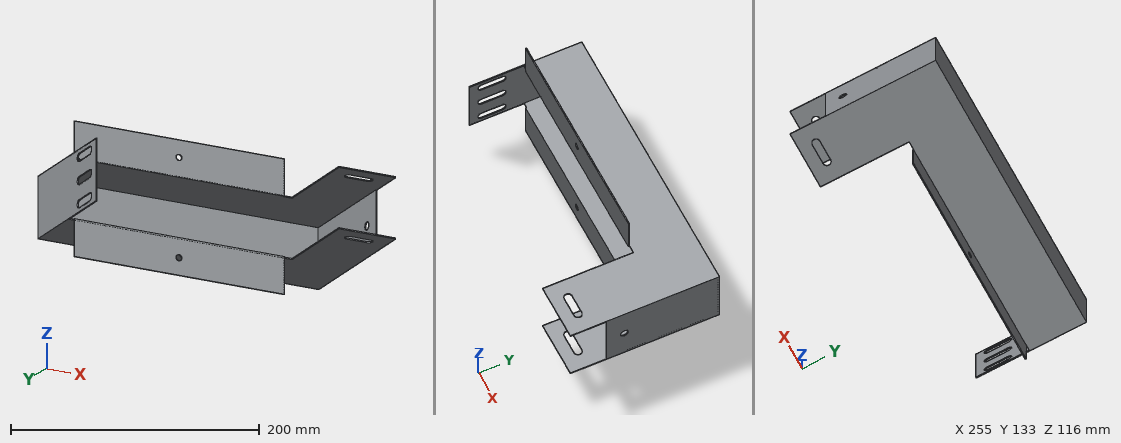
import cadquery as cq

length = 255.0
thickness = 1.0
channel_height = 53.5
channel_depth = 52.0

leg_reach = 133.0
leg_width = 51.5

end_wall_reach = 100.7

flange_start = 5.5
flange_end = 196.0
total_height = 116.0
flange_hole_diameter = 5.0
flange_hole_x = 100.5
flange_hole_inset = 15.0

slot_length = 25.0
slot_width = 7.0
leg_slot_reach = 118.3
end_slot_reach = 80.5
end_slot_pitch = 20.0
end_hole_diameter = 7.0
end_hole_reach = 85.0

half_height = channel_height / 2
inner_half_height = half_height - thickness
leg_start = length - leg_width


def block(x_min, x_max, y_min, y_max, z_min, z_max):
    """Box given by its limits along each axis."""
    size = (x_max - x_min, y_max - y_min, z_max - z_min)
    return cq.Workplane("XY").box(*size, centered=False).translate((x_min, y_min, z_min))


def l_plate(z_min):
    """L-shaped plate with its underside at z_min."""
    outline = [
        (0, 0),
        (length, 0),
        (length, -leg_reach),
        (leg_start, -leg_reach),
        (leg_start, -channel_depth),
        (0, -channel_depth),
    ]
    return cq.Workplane("XY").workplane(offset=z_min).polyline(outline).close().extrude(thickness)


def flanges():
    """Upper and lower flanges, each lapping the front edge of its plate."""
    front = -channel_depth - thickness
    top = total_height / 2
    upper = block(flange_start, flange_end, front, -channel_depth, inner_half_height, top)
    return upper.union(upper.mirror("XY"))


def left_wall():
    """Wall between the plates, with a full-height lip beyond the channel mouth."""
    inner = block(0, thickness, -channel_depth, -thickness, -inner_half_height, inner_half_height)
    lip = block(0, thickness, -end_wall_reach, -channel_depth, -half_height, half_height)
    return inner.union(lip)


body = block(0, length, -thickness, 0, -half_height, half_height)
body = body.union(l_plate(inner_half_height))
body = body.union(l_plate(-half_height))
body = body.union(left_wall())
body = body.union(
    block(length - thickness, length, -end_wall_reach, 0, -inner_half_height, inner_half_height)
)
body = body.union(flanges())

leg_slots = (
    cq.Workplane("XY")
    .center(length - leg_width / 2, -leg_slot_reach)
    .slot2D(slot_length, slot_width)
    .extrude(half_height, both=True)
)

end_slots = (
    cq.Workplane("YZ")
    .pushPoints([(-end_slot_reach, row * end_slot_pitch) for row in (-1, 0, 1)])
    .slot2D(slot_length, slot_width)
    .extrude(thickness)
)

end_hole = (
    cq.Workplane("YZ")
    .workplane(offset=length - thickness)
    .center(-end_hole_reach, 0)
    .circle(end_hole_diameter / 2)
    .extrude(thickness)
)

flange_hole_z = total_height / 2 - flange_hole_inset
flange_holes = (
    cq.Workplane("XZ")
    .workplane(offset=channel_depth)
    .pushPoints([(flange_hole_x, side * flange_hole_z) for side in (-1, 1)])
    .circle(flange_hole_diameter / 2)
    .extrude(thickness)
)

result = body.cut(leg_slots).cut(end_slots).cut(end_hole).cut(flange_holes)